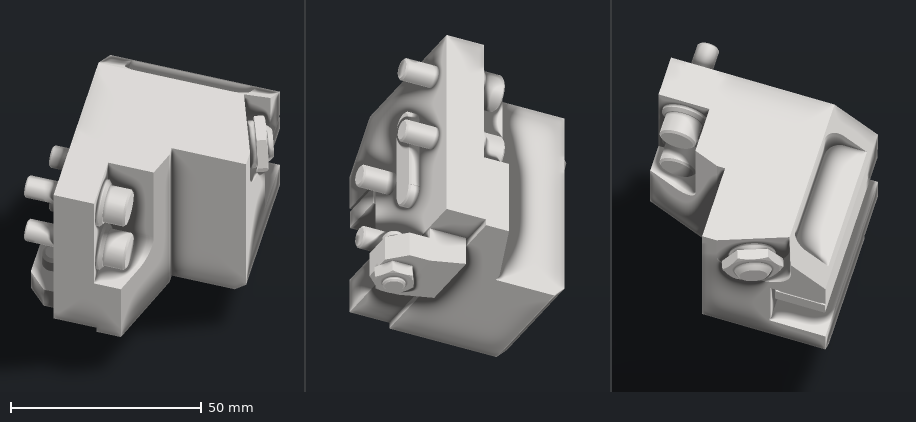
import cadquery as cq
import math


block_x = 46.25
block_y = 57.0
block_z = 55.9
front_web_x = 18.35
slope_end_x = 25.95
slope_end_y = 20.8
shoulder_y = 23.0
step_x = 11.65
step_z = 1.8
back_chamfer = 11.9
corner_chamfer = 3.1

slot_depth = 15.1
slot_top_z = -21.9
slot_bottom_z = -44.0
relief_depth = 0.3
relief_height = 1.4

recess_length = 34.1
recess_depth = 11.5
recess_floor_z = -10.8
recess_corner = 4.2

screw_diameter = 6.0
screw_reach = 9.4
screw_tip_chamfer = 0.5
screw_front_y = 7.5
screw_pitch_y = 25.0
screw_top_z = -9.0
screw_pitch_z = 19.05
screw_back_y = screw_front_y + screw_pitch_y
screw_middle_z = screw_top_z - screw_pitch_z
screw_bottom_z = screw_middle_z - screw_pitch_z
collar_diameter = 12.6
collar_rim = 0.8
collar_top_diameter = 10.7
collar_height = 1.65
head_diameter = 10.0
head_length = 7.6
head_chamfer = 0.55

pocket_floor_x = 11.0
pocket_y = 14.05
pocket_z = 34.95
pocket_corner = 6.45

key_height = 2.95
key_width = 8.0
key_length = 28.2
key_flat_width = 8.2
key_flat_length = 20.3
key_chamfer = 0.5
key_y = screw_front_y + screw_pitch_y / 2
key_z = screw_middle_z

jaw_width = 13.7
jaw_thickness = 5.1
jaw_back_gap = 0.15
jaw_top_gap = 1.0
stem_diameter = 4.8
stem_back_gap = 6.85

bracket_width = 18.8
bracket_left_x = -10.4
bracket_shoulder_x = 0.4
bracket_right_x = 11.0
bracket_top_z = step_z - block_z
bracket_arm_z = -57.05
bracket_bottom_z = -64.1
bracket_heel_z = -62.1
bracket_chamfer = 4.85

stop_x = -5.5
stop_top_z = -52.55
stop_bottom_z = -68.5
stop_top_chamfer = 0.9
stop_bottom_chamfer = 0.5
stop_nut_flats = 10.0
stop_nut_height = 3.3
stop_nut_crown = 0.3

seat_tilt = math.radians(20)
seat_corner_x = 39.65
seat_corner_y = block_y - back_chamfer
seat_radius = 9.85
seat_base_diameter = 12.0
seat_base_top = 0.35
seat_collar_top = 2.2
seat_nut_flats = 14.0
seat_nut_top = 5.1
seat_nut_crown = 0.5
stud_diameter = 10.0
stud_top = 6.8
stud_tip_diameter = 7.4
stud_dome_radius = 5.6


def box_between(low, high):
    """Box from its lowest corner to its highest corner."""
    size = [b - a for a, b in zip(low, high)]
    return cq.Workplane(cq.Plane(low)).box(*size, centered=False)


def turned(profile):
    """Solid of revolution about local Z from (radius, height) points, closed along the axis."""
    points = [(0, profile[0][1])] + profile + [(0, profile[-1][1])]
    return cq.Workplane("XZ").polyline(points).close().revolve(360, (0, 0), (0, 1))


def placed(body, plane):
    """Move a body built about the origin onto a plane."""
    return cq.Workplane(body.val().moved(cq.Location(plane)))


def crowned_nut(flats, bottom, top, crown):
    """Hexagon along Z, corners on X, with its top corners turned off down to the flats."""
    corners = flats / math.cos(math.pi / 6)
    hexagon = cq.Workplane("XY").workplane(offset=bottom).polygon(6, corners).extrude(top - bottom)
    envelope = turned([(corners / 2, bottom), (corners / 2, top - crown), (flats / 2, top)])
    return hexagon.intersect(envelope)


def make_block():
    outline = [
        (0, 0),
        (front_web_x, 0),
        (slope_end_x, slope_end_y),
        (slope_end_x, shoulder_y),
        (block_x, shoulder_y),
        (block_x, block_y),
        (0, block_y),
    ]
    block = cq.Workplane("XY").polyline(outline).close().extrude(-block_z)
    block = block.cut(box_between((0, 0, -block_z), (step_x, block_y, bracket_top_z)))
    block = block.edges("|X and >Y and >Z").chamfer(back_chamfer)
    return block.edges("|Y and >X and <Z").chamfer(corner_chamfer)


def make_jaw_slot():
    slot_floor_y = block_y - slot_depth
    slot = box_between((0, slot_floor_y, slot_bottom_z), (block_x, block_y, slot_top_z))
    relief_top_z = slot_bottom_z + relief_height
    relief = box_between(
        (0, slot_floor_y - relief_depth, slot_bottom_z), (block_x, block_y, relief_top_z)
    )
    return slot.union(relief)


def make_recess():
    left_x = (block_x - recess_length) / 2
    recess = box_between(
        (left_x, block_y - recess_depth, recess_floor_z), (left_x + recess_length, block_y, 0)
    )
    return recess.edges("|Z and <Y").fillet(recess_corner)


def make_head_pocket():
    pocket = box_between((pocket_floor_x, 0, -pocket_z), (block_x, pocket_y, 0))
    pocket = pocket.edges("|X and >Y and <Z").fillet(pocket_corner)
    return pocket.intersect(box_between((0, 0, -block_z), (slope_end_x, shoulder_y, 0)))


def make_screw_shanks():
    radius = screw_diameter / 2
    shank = turned([
        (radius, -pocket_floor_x),
        (radius, screw_reach - screw_tip_chamfer),
        (radius - screw_tip_chamfer, screw_reach),
    ])
    shanks = cq.Workplane("XY")
    for y, z in [
        (screw_front_y, screw_top_z),
        (screw_front_y, screw_middle_z),
        (screw_back_y, screw_middle_z),
        (screw_back_y, screw_bottom_z),
    ]:
        shanks = shanks.add(placed(shank, cq.Plane((0, y, z), (0, 1, 0), (-1, 0, 0))))
    return shanks


def make_screw_heads():
    head = turned([
        (collar_diameter / 2, 0),
        (collar_diameter / 2, collar_rim),
        (collar_top_diameter / 2, collar_height),
        (head_diameter / 2, collar_height),
        (head_diameter / 2, head_length - head_chamfer),
        (head_diameter / 2 - head_chamfer, head_length),
    ])
    heads = cq.Workplane("XY")
    for z in (screw_top_z, screw_middle_z):
        seat = cq.Plane((pocket_floor_x, screw_front_y, z), (0, 1, 0), (1, 0, 0))
        heads = heads.add(placed(head, seat))
    return heads


def make_key():
    face = cq.Workplane(cq.Plane((0, key_y, key_z), (0, 0, 1), (-1, 0, 0)))
    rounded = face.slot2D(key_length, key_width).extrude(key_height)
    rounded = rounded.faces("<X").chamfer(key_chamfer)
    flats = face.rect(key_flat_length, key_flat_width).extrude(key_height)
    flats = flats.edges("<X and |Z").chamfer(key_chamfer)
    return rounded.union(flats)


def make_clamp_jaw():
    back_y = block_y - jaw_back_gap
    top_z = slot_top_z - jaw_top_gap
    jaw = box_between((0, back_y - jaw_width, top_z - jaw_thickness), (block_x, back_y, top_z))
    stem = cq.Workplane(cq.Plane((block_x / 2, block_y - stem_back_gap, top_z)))
    return jaw.union(stem.circle(stem_diameter / 2).extrude(jaw_top_gap))


def make_stop_bracket():
    side = [
        (bracket_left_x, bracket_arm_z),
        (bracket_shoulder_x, bracket_arm_z),
        (bracket_shoulder_x, bracket_top_z),
        (bracket_right_x, bracket_top_z),
        (bracket_right_x, bracket_heel_z),
        (bracket_shoulder_x, bracket_bottom_z),
        (bracket_left_x, bracket_bottom_z),
    ]
    middle = cq.Workplane(cq.Plane((0, key_y, 0), (1, 0, 0), (0, -1, 0)))
    bracket = middle.polyline(side).close().extrude(bracket_width / 2, both=True)
    return bracket.edges("|Z and <X").chamfer(bracket_chamfer)


def make_stop_screw():
    radius = screw_diameter / 2
    screw = turned([
        (radius - stop_bottom_chamfer, stop_bottom_z),
        (radius, stop_bottom_z + stop_bottom_chamfer),
        (radius, stop_top_z - stop_top_chamfer),
        (radius - stop_top_chamfer, stop_top_z),
    ])
    screw = screw.translate((stop_x, key_y, 0))
    nut = crowned_nut(stop_nut_flats, 0, stop_nut_height, stop_nut_crown)
    downward = cq.Plane((stop_x, key_y, bracket_bottom_z), (1, 0, 0), (0, 0, -1))
    return screw.union(placed(nut, downward))


seat_plane = cq.Plane(
    (
        seat_corner_x + seat_radius * math.sin(seat_tilt),
        seat_corner_y - seat_radius * math.cos(seat_tilt),
        screw_top_z,
    ),
    (-math.sin(seat_tilt), math.cos(seat_tilt), 0),
    (math.cos(seat_tilt), math.sin(seat_tilt), 0),
)


def make_seat_cut():
    """Round-bottomed pocket, open at the top and outward."""
    face = cq.Workplane(seat_plane)
    round_bottom = face.circle(seat_radius).extrude(block_x)
    open_top = face.rect(2 * seat_radius, block_z, centered=(True, False)).extrude(block_x)
    return round_bottom.union(open_top)


def make_seat_nut():
    base_radius = seat_base_diameter / 2
    collar_radius = collar_diameter / 2
    collar_chamfer = collar_radius - base_radius
    collar = turned([
        (base_radius, 0),
        (base_radius, seat_base_top),
        (collar_radius, seat_base_top + collar_chamfer),
        (collar_radius, seat_collar_top - collar_chamfer),
        (base_radius, seat_collar_top),
    ])
    nut = crowned_nut(seat_nut_flats, seat_collar_top, seat_nut_top, seat_nut_crown)
    dome = (
        cq.Workplane("XZ")
        .moveTo(0, seat_nut_top)
        .lineTo(stud_diameter / 2, seat_nut_top)
        .radiusArc((stud_tip_diameter / 2, stud_top), -stud_dome_radius)
        .lineTo(0, stud_top)
        .close()
        .revolve(360, (0, 0), (0, 1))
    )
    return placed(collar.union(nut).union(dome), seat_plane)


result = make_block()
for cutter in (make_jaw_slot(), make_recess(), make_head_pocket(), make_seat_cut()):
    result = result.cut(cutter)
for body in (
    make_screw_shanks(),
    make_screw_heads(),
    make_key(),
    make_clamp_jaw(),
    make_stop_bracket(),
    make_stop_screw(),
    make_seat_nut(),
):
    result = result.union(body)